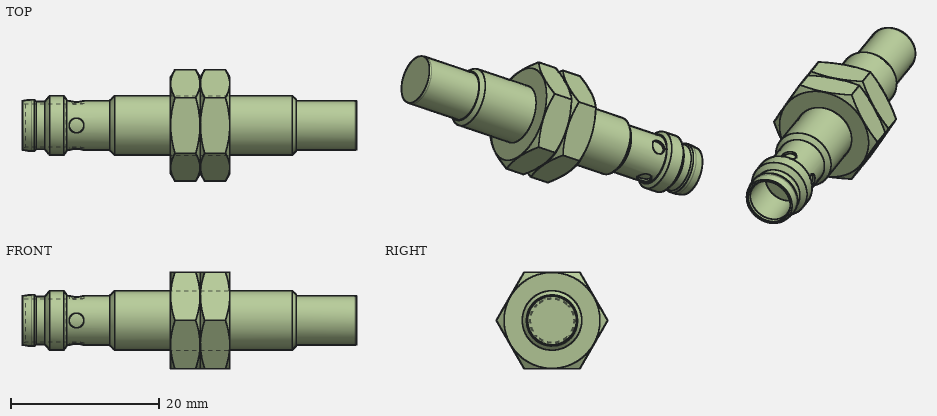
import cadquery as cq
import math

TOTAL_LENGTH = 45.05
THREAD_DIAMETER = 8.0

SOCKET_FACE_DIAMETER = 6.62
LIP_DIAMETER = 6.95
NECK_DIAMETER = 6.5
LIP_CROWN_END = 1.2
LIP_END = 1.6
NECK_START = 1.85
BORE_DIAMETER = 5.8
BORE_MOUTH_DIAMETER = 6.1
BORE_MOUTH_LENGTH = 0.4
BORE_DEPTH = 5.85

COLLAR_START = 3.0
COLLAR_RIM_START = 3.7
COLLAR_RIM_END = 5.6
COLLAR_END = 6.0
COLLAR_BACK_DIAMETER = LIP_DIAMETER

WAIST_DIAMETER = 6.65
WINDOW_DIAMETER = 2.0
WINDOW_X = 7.3
WINDOW_DEPTH = 0.3
WINDOW_COUNT = 4

BARREL_START = 11.75
BARREL_END = 36.95
BARREL_CHAMFER = 0.6
BARREL_REAR_DIAMETER = 6.9
TIP_DIAMETER = 6.65
TIP_END_DIAMETER = 6.6
TIP_EDGE_LENGTH = 0.25

NUT_ACROSS_FLATS = 13.0
NUT_THICKNESS = 4.0
NUT_COUNT = 2
FIRST_NUT_X = 19.95
NUT_CHAMFER_ANGLE = 30.0
NUT_FACE_DIAMETER = 12.95


def sensor_blank():
    """Solid of revolution carrying every outer diameter of the sensor."""
    face_radius = SOCKET_FACE_DIAMETER / 2
    lip_radius = LIP_DIAMETER / 2
    thread_radius = THREAD_DIAMETER / 2
    waist_radius = WAIST_DIAMETER / 2
    crown_middle = (LIP_CROWN_END / 2, lip_radius - (lip_radius - face_radius) / 4)
    profile = (
        cq.Workplane("XY")
        .moveTo(0, 0)
        .lineTo(0, face_radius)
        .threePointArc(crown_middle, (LIP_CROWN_END, lip_radius))
        .lineTo(LIP_END, lip_radius)
        .lineTo(NECK_START, NECK_DIAMETER / 2)
        .lineTo(COLLAR_START, NECK_DIAMETER / 2)
        .lineTo(COLLAR_RIM_START, thread_radius)
        .lineTo(COLLAR_RIM_END, thread_radius)
        .lineTo(COLLAR_END, COLLAR_BACK_DIAMETER / 2)
        .lineTo(COLLAR_END, waist_radius)
        .lineTo(BARREL_START, waist_radius)
        .lineTo(BARREL_START + (thread_radius - waist_radius), thread_radius)
        .lineTo(BARREL_END - BARREL_CHAMFER, thread_radius)
        .lineTo(BARREL_END, BARREL_REAR_DIAMETER / 2)
        .lineTo(BARREL_END, TIP_DIAMETER / 2)
        .lineTo(TOTAL_LENGTH - TIP_EDGE_LENGTH, TIP_DIAMETER / 2)
        .lineTo(TOTAL_LENGTH, TIP_END_DIAMETER / 2)
        .lineTo(TOTAL_LENGTH, 0)
        .close()
    )
    return profile.revolve(360, (0, 0, 0), (1, 0, 0))


def socket_bore():
    """Blind connector bore with a slightly flared mouth."""
    bore_radius = BORE_DIAMETER / 2
    return (
        cq.Workplane("XY")
        .moveTo(0, 0)
        .lineTo(0, BORE_MOUTH_DIAMETER / 2)
        .lineTo(BORE_MOUTH_LENGTH, bore_radius)
        .lineTo(BORE_DEPTH, bore_radius)
        .lineTo(BORE_DEPTH, 0)
        .close()
        .revolve(360, (0, 0, 0), (1, 0, 0))
    )


def window_recesses():
    """Shallow round recesses around the waist, with floors concentric to it."""
    core = (
        cq.Workplane("YZ")
        .workplane(offset=WINDOW_X - WINDOW_DIAMETER)
        .circle(WAIST_DIAMETER / 2 - WINDOW_DEPTH)
        .extrude(2 * WINDOW_DIAMETER)
    )
    recess = (
        cq.Workplane("XY")
        .center(WINDOW_X, 0)
        .circle(WINDOW_DIAMETER / 2)
        .extrude(WAIST_DIAMETER / 2)
        .cut(core)
    )
    step = 360 / WINDOW_COUNT
    return [recess.rotate((0, 0, 0), (1, 0, 0), i * step) for i in range(WINDOW_COUNT)]


def make_sensor():
    body = sensor_blank().cut(socket_bore())
    for recess in window_recesses():
        body = body.cut(recess)
    return body


def make_nut(start_x):
    """Hexagon nut with corners along Y and conical chamfers on both faces."""
    corner_radius = NUT_ACROSS_FLATS / math.sqrt(3)
    face_radius = NUT_FACE_DIAMETER / 2
    chamfer_depth = (corner_radius - face_radius) * math.tan(math.radians(NUT_CHAMFER_ANGLE))
    hexagon = (
        cq.Workplane("YZ")
        .polygon(6, 2 * corner_radius)
        .circle(THREAD_DIAMETER / 2)
        .extrude(NUT_THICKNESS)
    )
    chamfer_envelope = (
        cq.Workplane("XY")
        .moveTo(0, 0)
        .lineTo(0, face_radius)
        .lineTo(chamfer_depth, corner_radius)
        .lineTo(NUT_THICKNESS - chamfer_depth, corner_radius)
        .lineTo(NUT_THICKNESS, face_radius)
        .lineTo(NUT_THICKNESS, 0)
        .close()
        .revolve(360, (0, 0, 0), (1, 0, 0))
    )
    return hexagon.intersect(chamfer_envelope).translate((start_x, 0, 0))


sensor = make_sensor()
nuts = [make_nut(FIRST_NUT_X + i * NUT_THICKNESS) for i in range(NUT_COUNT)]

result = cq.Compound.makeCompound([sensor.val(), *[nut.val() for nut in nuts]])